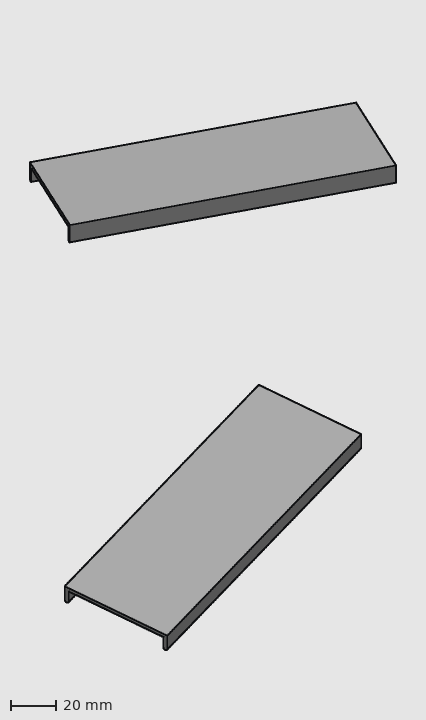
import cadquery as cq

length = 152.4
width = 54.9
height = 9.6
wall_thickness = 2.1
tip_radius = wall_thickness / 2

plate = cq.Workplane("XY").box(width, length, wall_thickness, centered=(True, True, False))
plate = plate.translate((0, 0, height - wall_thickness))


def flange(side):
    """Flange with a fully rounded lower edge; side is -1 or +1 along X."""
    center_x = side * (width - wall_thickness) / 2
    profile = (
        cq.Workplane("XZ", origin=(0, length / 2, 0))
        .moveTo(center_x - tip_radius, height)
        .lineTo(center_x - tip_radius, tip_radius)
        .threePointArc((center_x, 0), (center_x + tip_radius, tip_radius))
        .lineTo(center_x + tip_radius, height)
        .close()
    )
    return profile.extrude(length)


result = plate
for side in (-1, 1):
    result = result.union(flange(side))
result = result.clean()